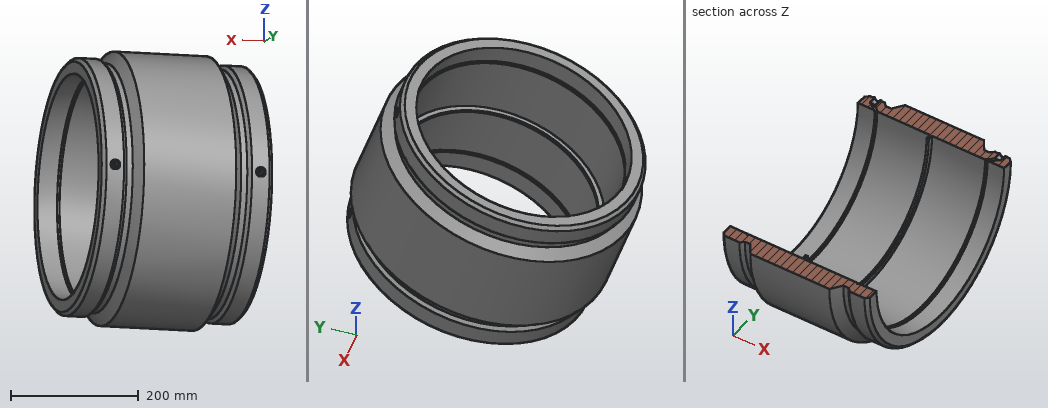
import cadquery as cq

LENGTH = 277.0
BODY_DIAMETER = 431.0
FLANGE_DIAMETER = 405.0
NECK_DIAMETER = 393.0
FLANGE_WIDTH = 40.5
NECK_WIDTH = 10.0
SHOULDER_WIDTH = 13.5

BORE_DIAMETER = 355.0
RIB_DIAMETER = 337.0
RIB_WIDTH = 4.5
GREASE_GROOVE_WIDTH = 4.0
GREASE_GROOVE_DEPTH = 1.5
GREASE_GROOVE_OFFSET = 34.0

BOSS_DIAMETER = 15.0
BOSS_HEIGHT = 1.0
PORT_DIAMETER = 10.0
PORT_DEPTH = 13.0
PASSAGE_DIAMETER = 4.0

half_length = LENGTH / 2
body_radius = BODY_DIAMETER / 2
flange_radius = FLANGE_DIAMETER / 2
neck_radius = NECK_DIAMETER / 2
bore_radius = BORE_DIAMETER / 2
boss_top = flange_radius + BOSS_HEIGHT
flange_chamfer = flange_radius - neck_radius
neck_start = half_length - FLANGE_WIDTH
neck_end = neck_start - NECK_WIDTH
body_end = neck_end - SHOULDER_WIDTH
groove_center = half_length - GREASE_GROOVE_OFFSET
port_center = half_length - FLANGE_WIDTH / 2


def turned(profile):
    """Revolve an (axial, radial) profile about the X axis."""
    return cq.Workplane("XY").polyline(profile).close().revolve(360, (0, 0, 0), (1, 0, 0))


def cylinder(start, end, radius):
    """Solid cylinder along X between two axial positions."""
    return turned([(start, 0), (end, 0), (end, radius), (start, radius)])


def outer_body():
    """Solid outer shape: body, conical shoulders, necks and chamfered flanges."""
    right_side = [
        (body_end, body_radius),
        (neck_end, neck_radius),
        (neck_start, neck_radius),
        (neck_start + flange_chamfer, flange_radius),
        (half_length - flange_chamfer, flange_radius),
        (half_length, neck_radius),
    ]
    left_side = [(-x, radius) for x, radius in reversed(right_side)]
    return turned([(-half_length, 0)] + left_side + right_side + [(half_length, 0)])


def end_bore(side):
    """Bore from one end face up to the middle rib."""
    return cylinder(side * RIB_WIDTH / 2, side * half_length, bore_radius)


def grease_groove(side):
    """Shallow ring groove in the wall of the bore."""
    center = side * groove_center
    return cylinder(
        center - GREASE_GROOVE_WIDTH / 2,
        center + GREASE_GROOVE_WIDTH / 2,
        bore_radius + GREASE_GROOVE_DEPTH,
    )


def radial_cylinder(side, bottom, top, diameter):
    """Cylinder along Y, centered on one flange."""
    plane = cq.Workplane("XZ", origin=(side * port_center, top, 0))
    return plane.circle(diameter / 2).extrude(top - bottom)


def port_boss(side):
    """Low round boss that stands just above the flange and surrounds the port."""
    return radial_cylinder(side, flange_radius - PORT_DEPTH, boss_top, BOSS_DIAMETER)


def grease_port(side):
    """Blind port with a slanted passage down to the grease groove."""
    port = radial_cylinder(side, flange_radius - PORT_DEPTH, boss_top, PORT_DIAMETER)
    passage_start = cq.Vector(side * port_center, flange_radius - PORT_DEPTH, 0)
    passage_end = cq.Vector(side * groove_center, bore_radius, 0)
    direction = passage_end - passage_start
    passage = cq.Solid.makeCylinder(
        PASSAGE_DIAMETER / 2, direction.Length, passage_start, direction
    )
    return port.union(cq.Workplane(passage))


result = outer_body().cut(cylinder(-half_length, half_length, RIB_DIAMETER / 2))
for side in (-1, 1):
    result = result.union(port_boss(side))
    result = result.cut(end_bore(side))
    result = result.cut(grease_groove(side))
    result = result.cut(grease_port(side))